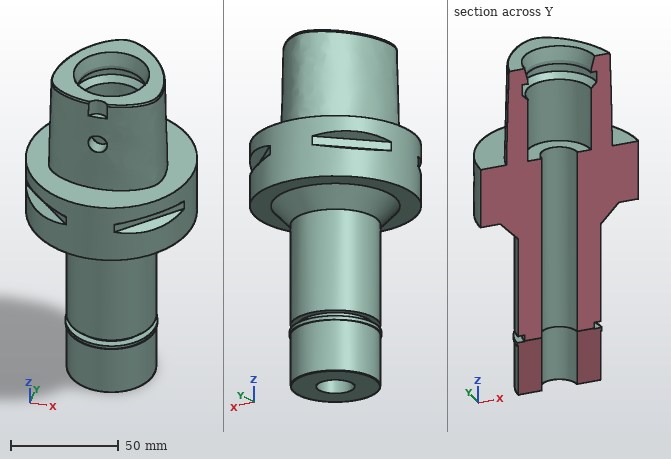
import cadquery as cq
import math

TOTAL_LENGTH = 168.0
NUT_HEIGHT = 27.2
SHANK_BOTTOM = 30.2
CONE_BOTTOM = 80.5
FLANGE_HEIGHT = 30.0
TAPER_LENGTH = 48.0
FLANGE_TOP = TOTAL_LENGTH - TAPER_LENGTH
FLANGE_BOTTOM = FLANGE_TOP - FLANGE_HEIGHT

FLANGE_RADIUS = 40.0
SHANK_RADIUS = 21.0
NECK_RADIUS = 17.6
CONE_TOP_RADIUS = 30.0

NUT_RADIUS = 21.0
NUT_COLLAR_RADIUS = 21.5
NUT_COLLAR_HEIGHT = 1.8
NUT_CHAMFER = 0.3

LOBE_BASE_RADIUS = 27.7
LOBE_TAPER = 1 / 40
LOBE_ECCENTRICITY = 2.2
LOBE_POINTS = 48
RIM_HEIGHT = 1.0
RIM_INSET = 0.5

THROUGH_RADIUS = 8.99
MOUTH_RADIUS = 17.6
BORE_RADIUS = 16.0
UNDERCUT_RADIUS = 18.8
MOUTH_DEPTH = 6.5
LIP_DEPTH = 8.4
UNDERCUT_DEPTH = 13.6
BORE_DEPTH = TAPER_LENGTH

SLOT_RADIUS = 5.4
SLOT_CENTRE_Y = -27.0
SLOT_DEPTH = 7.7
RADIAL_HOLE_RADIUS = 4.5
RADIAL_HOLE_Z = 145.2
RADIAL_HOLE_END_Y = -18.1

NOTCH_COUNT = 4
NOTCH_FLOOR_DISTANCE = 35.3
NOTCH_FLOOR_HEIGHT = 4.2
NOTCH_MOUTH_HEIGHT = 8.7
NOTCH_CENTRE_Z = 108.2


def lobed_wire(z, mean_radius):
    """Constant-width three-lobed outline with one lobe toward +Y."""
    points = []
    for i in range(LOBE_POINTS):
        angle = 2 * math.pi * i / LOBE_POINTS
        support = mean_radius - LOBE_ECCENTRICITY * math.sin(3 * angle)
        slope = -3 * LOBE_ECCENTRICITY * math.cos(3 * angle)
        x = support * math.cos(angle) - slope * math.sin(angle)
        y = support * math.sin(angle) + slope * math.cos(angle)
        points.append(cq.Vector(x, y, z))
    return cq.Wire.assembleEdges([cq.Edge.makeSpline(points, periodic=True)])


def lobed_shank():
    rim_radius = LOBE_BASE_RADIUS - LOBE_TAPER * (TAPER_LENGTH - RIM_HEIGHT)
    rim_z = TOTAL_LENGTH - RIM_HEIGHT
    base = lobed_wire(FLANGE_TOP, LOBE_BASE_RADIUS)
    rim = lobed_wire(rim_z, rim_radius)
    top = lobed_wire(TOTAL_LENGTH, rim_radius - RIM_INSET)
    taper = cq.Workplane(cq.Solid.makeLoft([base, rim], True))
    chamfer = cq.Workplane(cq.Solid.makeLoft([rim, top], True))
    return taper.union(chamfer)


def revolved(profile):
    """Solid of revolution about Z from (radius, z) points."""
    return cq.Workplane("XZ").polyline(profile).close().revolve(360, (0, 0), (0, 1))


def turned_holder():
    return revolved([
        (0, NUT_HEIGHT),
        (NECK_RADIUS, NUT_HEIGHT),
        (NECK_RADIUS, SHANK_BOTTOM),
        (SHANK_RADIUS, SHANK_BOTTOM),
        (SHANK_RADIUS, CONE_BOTTOM),
        (CONE_TOP_RADIUS, FLANGE_BOTTOM),
        (FLANGE_RADIUS, FLANGE_BOTTOM),
        (FLANGE_RADIUS, FLANGE_TOP),
        (0, FLANGE_TOP),
    ])


def stepped_bore():
    bore_start_z = TOTAL_LENGTH - UNDERCUT_DEPTH - (UNDERCUT_RADIUS - BORE_RADIUS)
    return revolved([
        (0, TOTAL_LENGTH),
        (MOUTH_RADIUS, TOTAL_LENGTH),
        (BORE_RADIUS, TOTAL_LENGTH - MOUTH_DEPTH),
        (BORE_RADIUS, TOTAL_LENGTH - LIP_DEPTH),
        (UNDERCUT_RADIUS, TOTAL_LENGTH - LIP_DEPTH),
        (UNDERCUT_RADIUS, TOTAL_LENGTH - UNDERCUT_DEPTH),
        (BORE_RADIUS, bore_start_z),
        (BORE_RADIUS, TOTAL_LENGTH - BORE_DEPTH),
        (THROUGH_RADIUS, TOTAL_LENGTH - BORE_DEPTH),
        (THROUGH_RADIUS, 0),
        (0, 0),
    ])


def key_slot():
    return (
        cq.Workplane("XY", origin=(0, SLOT_CENTRE_Y, TOTAL_LENGTH - SLOT_DEPTH))
        .circle(SLOT_RADIUS)
        .extrude(SLOT_DEPTH)
    )


def radial_hole():
    return (
        cq.Workplane("XZ", origin=(0, RADIAL_HOLE_END_Y, RADIAL_HOLE_Z))
        .circle(RADIAL_HOLE_RADIUS)
        .extrude(FLANGE_RADIUS)
    )


def gripper_notch(angle):
    """Straight trapezoidal groove cut across the flange edge."""
    floor_half = NOTCH_FLOOR_HEIGHT / 2
    mouth_half = NOTCH_MOUTH_HEIGHT / 2
    return (
        cq.Workplane("XZ", origin=(0, 0, NOTCH_CENTRE_Z))
        .polyline([
            (NOTCH_FLOOR_DISTANCE, -floor_half),
            (FLANGE_RADIUS, -mouth_half),
            (FLANGE_RADIUS, mouth_half),
            (NOTCH_FLOOR_DISTANCE, floor_half),
        ])
        .close()
        .extrude(FLANGE_RADIUS, both=True)
        .rotate((0, 0, 0), (0, 0, 1), angle)
    )


def make_holder():
    holder = turned_holder().union(lobed_shank())
    holder = holder.cut(stepped_bore()).cut(key_slot()).cut(radial_hole())
    for i in range(NOTCH_COUNT):
        holder = holder.cut(gripper_notch(45 + i * 360 / NOTCH_COUNT))
    return holder


def make_nut():
    collar_bottom = NUT_HEIGHT - NUT_COLLAR_HEIGHT
    return revolved([
        (THROUGH_RADIUS, 0),
        (NUT_RADIUS - NUT_CHAMFER, 0),
        (NUT_RADIUS, NUT_CHAMFER),
        (NUT_RADIUS, collar_bottom),
        (NUT_COLLAR_RADIUS, collar_bottom),
        (NUT_COLLAR_RADIUS, NUT_HEIGHT),
        (THROUGH_RADIUS, NUT_HEIGHT),
    ])


holder = make_holder()
nut = make_nut()
result = cq.Compound.makeCompound([holder.val(), nut.val()])